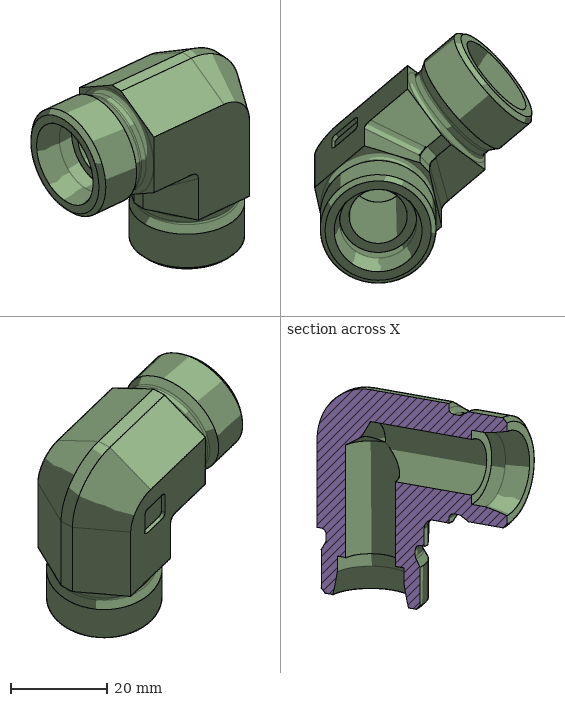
import cadquery as cq
import math


overall_length = 46.0
bend_height = 13.0
port_reach = overall_length - bend_height
arm_length = 19.0

across_flats = 24.0
half_flats = across_flats / 2
side_half_height = half_flats * math.tan(math.radians(30))
crest_radius = half_flats / math.cos(math.radians(30))
crest_half_width = (crest_radius - bend_height) * math.tan(math.radians(60))
inner_corner_radius = 2.02

thread_radius = 24.0 / 2
groove_radius = 21.7 / 2
groove_width = 4.65
groove_runout_angle = 30
groove_fillet = 1.1
tip_chamfer = 1.0

socket_radius = 16.0 / 2
socket_mouth_radius = 18.2 / 2
socket_taper_angle = 12
socket_depth = 8.5
taper_depth = (socket_mouth_radius - socket_radius) / math.tan(math.radians(socket_taper_angle))
bore_radius = 12.0 / 2
drill_point_angle = 118
drill_point_height = bore_radius / math.tan(math.radians(drill_point_angle / 2))

recess_size = 7.0
recess_corner_radius = 1.0
recess_depth = 0.9
recess_offset = 1.45


def copy_to_other_port(down_port):
    """Turn a feature of the -Z port about X so that it serves the -Y port."""
    return down_port.rotate((0, 0, 0), (1, 0, 0), -90)


def on_both_ports(down_port):
    return down_port.union(copy_to_other_port(down_port))


def hexagonal_arm():
    corners = [
        (half_flats, side_half_height),
        (crest_half_width, bend_height),
        (-crest_half_width, bend_height),
        (-half_flats, side_half_height),
        (-half_flats, -side_half_height),
        (-crest_half_width, -bend_height),
        (crest_half_width, -bend_height),
        (half_flats, -side_half_height),
    ]
    return cq.Workplane("XY").polyline(corners).close().extrude(-arm_length)


def outer_bend():
    """Outer half of the hexagon turned a quarter turn about the X axis."""
    half_section = [
        (-half_flats, 0),
        (-half_flats, side_half_height),
        (-crest_half_width, bend_height),
        (crest_half_width, bend_height),
        (half_flats, side_half_height),
        (half_flats, 0),
    ]
    bend = cq.Workplane("XY").polyline(half_section).close()
    return bend.revolve(90, (0, 0, 0), (1, 0, 0))


def elbow_body():
    body = on_both_ports(hexagonal_arm()).union(outer_bend())

    def lies_on_inner_corner(edge):
        ends = (edge.startPoint(), edge.endPoint())
        tolerance = 0.0005
        return all(abs(p.y - p.z) < tolerance and p.y < -tolerance for p in ends)

    inner_corner = body.edges().filter(lies_on_inner_corner)
    return inner_corner.fillet(inner_corner_radius)


def spigot():
    """Solid of revolution about Z, from the axis crossing to the -Z port face."""
    runout_angle = math.radians(groove_runout_angle)
    runout_length = (thread_radius - groove_radius) / math.tan(runout_angle)
    thread_start = -arm_length - groove_width
    groove_corner = thread_start + runout_length
    tangent_length = groove_fillet * math.tan(runout_angle / 2)
    groove_end = groove_corner + tangent_length
    fillet_center_radius = groove_radius + groove_fillet

    def on_groove_fillet(center_height, angle):
        return (
            fillet_center_radius - groove_fillet * math.cos(angle),
            center_height - groove_fillet * math.sin(angle),
        )

    face_fillet_center = -arm_length - groove_fillet
    profile = (
        cq.Workplane("XZ")
        .lineTo(fillet_center_radius, 0)
        .lineTo(fillet_center_radius, -arm_length)
        .threePointArc(
            on_groove_fillet(face_fillet_center, math.radians(-45)),
            (groove_radius, face_fillet_center),
        )
        .lineTo(groove_radius, groove_end)
        .threePointArc(
            on_groove_fillet(groove_end, runout_angle / 2),
            on_groove_fillet(groove_end, runout_angle),
        )
        .lineTo(thread_radius, thread_start)
        .lineTo(thread_radius, -port_reach + tip_chamfer)
        .lineTo(thread_radius - tip_chamfer, -port_reach)
        .lineTo(0, -port_reach)
        .close()
    )
    return profile.revolve(360, (0, 0, 0), (0, 1, 0))


def bore():
    """Tapered socket, stop shoulder and blind drilling of the -Z port."""
    profile = [
        (0, drill_point_height),
        (bore_radius, 0),
        (bore_radius, -port_reach + socket_depth),
        (socket_radius, -port_reach + socket_depth),
        (socket_radius, -port_reach + taper_depth),
        (socket_mouth_radius, -port_reach),
        (0, -port_reach),
    ]
    return cq.Workplane("XZ").polyline(profile).close().revolve(360, (0, 0, 0), (0, 1, 0))


def side_recess():
    block = cq.Workplane("XY").box(2 * recess_depth, recess_size, recess_size)
    return block.edges("|X").fillet(recess_corner_radius).translate(
        (-half_flats, -recess_offset, -recess_offset)
    )


result = (
    elbow_body()
    .union(on_both_ports(spigot()))
    .cut(on_both_ports(bore()))
    .cut(side_recess())
)